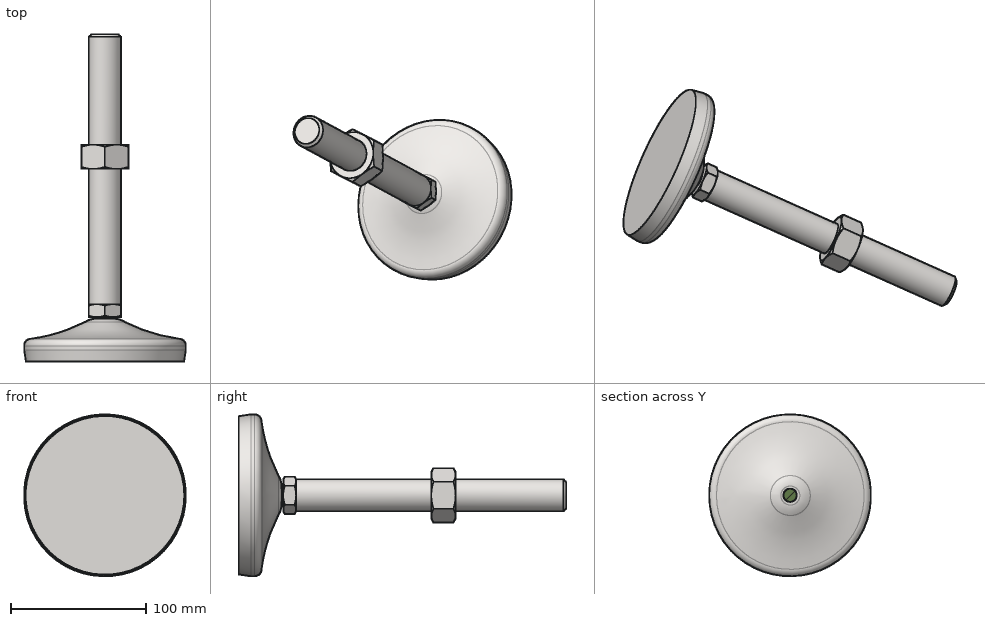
import cadquery as cq
import math

total_length = 242.5

pad_radius = 120.0 / 2
pad_base_radius = 58.7
rim_bottom = 8.7
rim_top = 11.6
shoulder_height = 17.0
rim_round = shoulder_height - rim_top
shoulder_radius = pad_radius - rim_round
flank_mid_radius = 34.0
flank_mid_height = 21.5
crown_radius = 14.8
crown_height = 29.3
pad_top_radius = 7.0
pad_top = 31.8

neck_diameter = 10.0
spindle_diameter = 24.0
tip_chamfer = 2.2
wrench_hex_bottom = 33.0
wrench_hex_height = 9.5
wrench_hex_flats = spindle_diameter
nut_bottom = 142.5
nut_height = 18.0
nut_flats = 35.0
hex_chamfer_angle = math.radians(30)


def along_y(start):
    """Sketch plane at Y = start whose normal points along +Y."""
    return cq.Workplane(cq.Plane(origin=(0, start, 0), xDir=(1, 0, 0), normal=(0, 1, 0)))


def cylinder(start, end, diameter):
    return along_y(start).circle(diameter / 2).extrude(end - start)


def revolve_about_y(profile):
    return profile.close().revolve(360, (0, 0, 0), (0, 1, 0))


def make_pad():
    """Solid of revolution with a tapered base, rounded rim, concave flank and domed crown."""
    quarter_turn_mid = math.sqrt(0.5)
    shoulder_mid = (
        shoulder_radius + rim_round * quarter_turn_mid,
        rim_top + rim_round * quarter_turn_mid,
    )
    crown_run = crown_radius - pad_top_radius
    crown_drop = pad_top - crown_height
    crown_arc_radius = (crown_run**2 + crown_drop**2) / (2 * crown_drop)
    crown_half_angle = math.asin(crown_run / crown_arc_radius) / 2
    crown_mid = (
        pad_top_radius + crown_arc_radius * math.sin(crown_half_angle),
        pad_top - crown_arc_radius * (1 - math.cos(crown_half_angle)),
    )
    profile = (
        cq.Workplane("XY")
        .lineTo(pad_base_radius, 0)
        .lineTo(pad_radius, rim_bottom)
        .lineTo(pad_radius, rim_top)
        .threePointArc(shoulder_mid, (shoulder_radius, shoulder_height))
        .threePointArc((flank_mid_radius, flank_mid_height), (crown_radius, crown_height))
        .threePointArc(crown_mid, (pad_top_radius, pad_top))
        .lineTo(0, pad_top)
    )
    return revolve_about_y(profile)


def make_hexagon(start, height, flats):
    """Hexagon with flats facing +/-X and both ends chamfered by a cone."""
    corner_radius = flats / math.sqrt(3)
    end_radius = flats / 2
    chamfer_height = (corner_radius - end_radius) * math.tan(hex_chamfer_angle)
    end = start + height
    prism = along_y(start).transformed(rotate=(0, 0, 30)).polygon(6, 2 * corner_radius).extrude(height)
    envelope = (
        cq.Workplane("XY")
        .moveTo(0, start)
        .lineTo(end_radius, start)
        .lineTo(corner_radius, start + chamfer_height)
        .lineTo(corner_radius, end - chamfer_height)
        .lineTo(end_radius, end)
        .lineTo(0, end)
    )
    return prism.intersect(revolve_about_y(envelope))


pad = make_pad()
neck = cylinder(pad_top, wrench_hex_bottom, neck_diameter)
wrench_hex = make_hexagon(wrench_hex_bottom, wrench_hex_height, wrench_hex_flats)
wrench_hex_top = wrench_hex_bottom + wrench_hex_height
spindle = cylinder(wrench_hex_top, total_length, spindle_diameter).faces(">Y").chamfer(tip_chamfer)
nut = make_hexagon(nut_bottom, nut_height, nut_flats)

result = pad.union(neck).union(wrench_hex).union(spindle).union(nut)